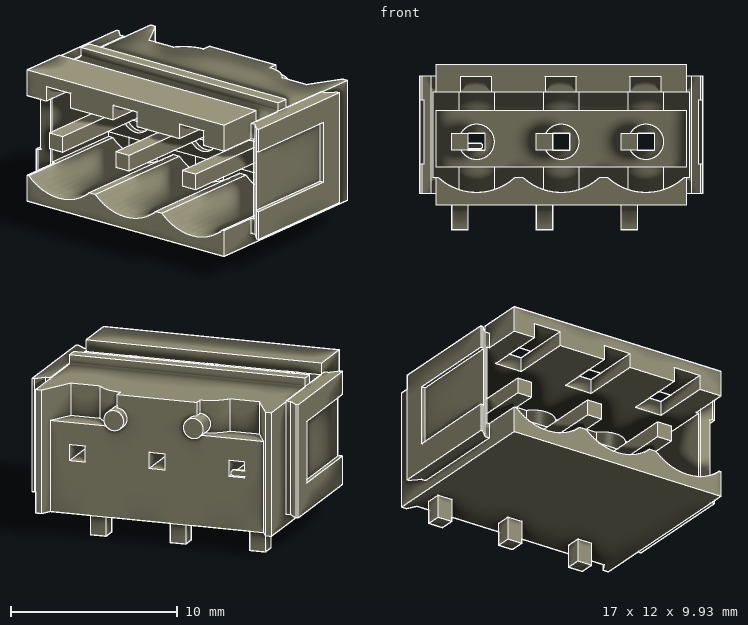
import cadquery as cq
import math

WIDTH = 15.05
DEPTH = 12.0
ROOF_TOP = 7.72
POLES = 3
PITCH = 5.08
POLE_X = [(i - (POLES - 1) / 2) * PITCH for i in range(POLES)]

CAVITY_WIDTH = 15.4
CAVITY_BOTTOM = 1.67
CAVITY_TOP = 6.78
CAVITY_DEPTH = 8.16
CHANNEL_BOTTOM = 0.76
CHANNEL_WIDTH = 4.6

LATCH_DEPTH = 3.13
LATCH_TOP = 8.45
NOTCH_WIDTH = 1.85
NOTCH_DEPTH = 4.13
NOTCH_SHIFT = -0.03

RIB_FRONT = 5.27
RIB_BACK = 6.04
RIB_TOP = 8.3
RIB_FRONT_ROOT = 0.2
RIB_BACK_ROOT = 0.17

OVERALL_WIDTH = 17
FLANGE_BOTTOM = 0.7
FLANGE_TOP = 7.77
FLANGE_FRONT = 2.12
FLANGE_BACK = 9.96
FLANGE_LIP = 0.15
FLANGE_SLOPE = 0.53
RECESS_DEPTH = 0.25
RECESS_BACK = 8.42
RECESS_BOTTOM = 2.48
RECESS_TOP = 6.32

EAR_TIP = 0.37
EAR_ROOT = 1.51
GAP_FLOOR = 9.95
LEDGE_BACK = 11.39
LEDGE_TOP = 5.7
LOBE_WIDTH = 8.3
LOBE_SHOULDER = 10.81
LOBE_RADIUS = 1.94
PEG_RADIUS = 0.63
PEG_HEIGHT = 6.25

COLUMN_WIDTH = 2.12
COLUMN_PROJECTION = 0.51
SEAT_PLATE_THICKNESS = 0.68
SEAT_PLATE_BOTTOM = 2.3
SEAT_PLATE_TOP = 5.68
COUNTERBORE_RADIUS = COLUMN_WIDTH / 2
COUNTERBORE_DEPTH = 0.34

PIN_SIZE = 1.0
PIN_OFFSET = PIN_SIZE
PIN_AXIS_HEIGHT = 3.8
PIN_TIP = 0.99
PIN_TAIL_BACK = 10.47
PIN_TAIL_BOTTOM = -1.48

TONGUE_WIDTH = 0.35
TONGUE_HEIGHT = 3.55
TONGUE_REACH = 0.87
TONGUE_THICKNESS = 0.17


def block(x_span, y_span, z_span):
    """Box between two limits along each axis."""
    (x0, x1), (y0, y1), (z0, z1) = x_span, y_span, z_span
    return cq.Workplane("XY").box(x1 - x0, y1 - y0, z1 - z0, centered=False).translate((x0, y0, z0))


def centred_block(width, y_span, z_span, x=0):
    return block((x - width / 2, x + width / 2), y_span, z_span)


def rod_along_y(radius, x, z, y_span):
    y0, y1 = y_span
    return cq.Workplane("XZ", origin=(x, y0, z)).circle(radius).extrude(y0 - y1)


def flange():
    """Right-hand dovetail flange with a shallow recess in its outer face."""
    outer = OVERALL_WIDTH / 2
    lip = outer - FLANGE_LIP
    root = lip - FLANGE_SLOPE
    root_front = FLANGE_FRONT + FLANGE_SLOPE
    root_back = FLANGE_BACK - FLANGE_SLOPE
    outline = [
        (WIDTH / 2, root_front),
        (root, root_front),
        (lip, FLANGE_FRONT),
        (outer, FLANGE_FRONT),
        (outer, FLANGE_BACK),
        (lip, FLANGE_BACK),
        (root, root_back),
        (WIDTH / 2, root_back),
    ]
    plate = (
        cq.Workplane("XY", origin=(0, 0, FLANGE_BOTTOM))
        .polyline(outline)
        .close()
        .extrude(FLANGE_TOP - FLANGE_BOTTOM)
    )
    recess = block((outer - RECESS_DEPTH, outer), (0, RECESS_BACK), (RECESS_BOTTOM, RECESS_TOP))
    return plate.cut(recess)


def cavity():
    """Mating cavity with one round-bottomed channel per pole."""
    space = centred_block(CAVITY_WIDTH, (0, CAVITY_DEPTH), (CAVITY_BOTTOM, CAVITY_TOP))
    for x in POLE_X:
        channel = (
            cq.Workplane("XZ", origin=(x, 0, 0))
            .moveTo(-CHANNEL_WIDTH / 2, CAVITY_BOTTOM)
            .threePointArc((0, CHANNEL_BOTTOM), (CHANNEL_WIDTH / 2, CAVITY_BOTTOM))
            .close()
            .extrude(-CAVITY_DEPTH)
        )
        space = space.union(channel)
    return space


def latch_notch(x):
    """Slot up through the latch bar and the front of the roof."""
    return centred_block(NOTCH_WIDTH, (0, NOTCH_DEPTH), (CAVITY_TOP, ROOF_TOP), x + NOTCH_SHIFT)


def root_fillet(face_y, reach):
    """Concave fillet from a rib face down to the roof; the sign of reach is its direction along Y."""
    radius = abs(reach)
    inset = 1 - math.sqrt(0.5)
    return (
        cq.Workplane("YZ", origin=(-WIDTH / 2, 0, 0))
        .moveTo(face_y, ROOF_TOP + radius)
        .threePointArc((face_y + inset * reach, ROOF_TOP + inset * radius), (face_y + reach, ROOF_TOP))
        .lineTo(face_y, ROOF_TOP)
        .close()
        .extrude(WIDTH)
    )


def rib():
    bar = centred_block(WIDTH, (RIB_FRONT, RIB_BACK), (ROOF_TOP, RIB_TOP))
    front_root = root_fillet(RIB_FRONT, -RIB_FRONT_ROOT)
    back_root = root_fillet(RIB_BACK, RIB_BACK_ROOT)
    return bar.union(front_root).union(back_root)


def ear_gap(floor, bottom):
    """Tapered space between the ears, from a floor out to the rear face."""
    tip = WIDTH / 2 - EAR_TIP
    root = WIDTH / 2 - EAR_ROOT
    floor_half = root + (tip - root) * (floor - GAP_FLOOR) / (DEPTH - GAP_FLOOR)
    return (
        cq.Workplane("XY", origin=(0, 0, bottom))
        .polyline([(-floor_half, floor), (floor_half, floor), (tip, DEPTH), (-tip, DEPTH)])
        .close()
        .extrude(ROOF_TOP - bottom)
    )


def roof_lobe():
    """Rear projection of the roof, with rounded shoulders either side of its square end."""
    half = LOBE_WIDTH / 2
    neck = PITCH / 2
    return (
        cq.Workplane("XY", origin=(0, 0, LEDGE_TOP))
        .moveTo(-half, GAP_FLOOR)
        .radiusArc((-neck, LOBE_SHOULDER), LOBE_RADIUS)
        .lineTo(-neck, LEDGE_BACK)
        .lineTo(neck, LEDGE_BACK)
        .lineTo(neck, LOBE_SHOULDER)
        .radiusArc((half, GAP_FLOOR), LOBE_RADIUS)
        .close()
        .extrude(ROOF_TOP - LEDGE_TOP)
    )


def column(x):
    """Upright column with a shallow round front, standing on the cavity's rear wall."""
    half = COLUMN_WIDTH / 2
    return (
        cq.Workplane("XY", origin=(x, CAVITY_DEPTH, CHANNEL_BOTTOM))
        .moveTo(-half, 0)
        .threePointArc((0, -COLUMN_PROJECTION), (half, 0))
        .close()
        .extrude(CAVITY_TOP - CHANNEL_BOTTOM)
    )


def tongue():
    """Bar with a round right-hand end, across the rear of the first pole's square hole."""
    left = POLE_X[0] - PIN_SIZE / 2
    end_radius = TONGUE_WIDTH / 2
    arc_start = left + TONGUE_REACH - end_radius
    z_span = (TONGUE_HEIGHT - end_radius, TONGUE_HEIGHT + end_radius)
    y_span = (LEDGE_BACK - TONGUE_THICKNESS, LEDGE_BACK)
    bar = block((left, arc_start), y_span, z_span)
    return bar.union(rod_along_y(end_radius, arc_start, TONGUE_HEIGHT, y_span))


def make_pin(x):
    """Square L-shaped pin: a contact blade pointing forward and a solder tail pointing down."""
    left = x - PIN_OFFSET - PIN_SIZE / 2
    x_span = (left, left + PIN_SIZE)
    top = PIN_AXIS_HEIGHT + PIN_SIZE / 2
    blade = block(x_span, (PIN_TIP, PIN_TAIL_BACK), (top - PIN_SIZE, top))
    tail = block(x_span, (PIN_TAIL_BACK - PIN_SIZE, PIN_TAIL_BACK), (PIN_TAIL_BOTTOM, top))
    return blade.union(tail)


def add_rear_details(body):
    """Ears, ledge, roof lobe and two round pegs at the rear."""
    body = body.cut(ear_gap(LEDGE_BACK, 0))
    body = body.cut(ear_gap(GAP_FLOOR, LEDGE_TOP))
    body = body.union(roof_lobe())
    for x in (-PITCH / 2, PITCH / 2):
        body = body.union(rod_along_y(PEG_RADIUS, x, PEG_HEIGHT, (GAP_FLOOR, DEPTH)))
    return body


def add_contact_seats(body):
    """Columns, the plate across them, and a counterbored square hole at each pole."""
    plate_front = CAVITY_DEPTH - SEAT_PLATE_THICKNESS
    body = body.union(
        centred_block(WIDTH, (plate_front, CAVITY_DEPTH), (SEAT_PLATE_BOTTOM, SEAT_PLATE_TOP))
    )
    bore_span = (plate_front, plate_front + COUNTERBORE_DEPTH)
    hole_z = (PIN_AXIS_HEIGHT - PIN_SIZE / 2, PIN_AXIS_HEIGHT + PIN_SIZE / 2)
    for x in POLE_X:
        body = body.union(column(x))
        body = body.cut(rod_along_y(COUNTERBORE_RADIUS, x, PIN_AXIS_HEIGHT, bore_span))
        body = body.cut(centred_block(PIN_SIZE, (plate_front, DEPTH), hole_z, x))
    return body.union(tongue())


def make_housing():
    body = centred_block(WIDTH, (0, DEPTH), (0, ROOF_TOP))
    right_flange = flange()
    body = body.union(right_flange).union(right_flange.mirror("YZ"))
    body = body.union(centred_block(WIDTH, (0, LATCH_DEPTH), (CAVITY_TOP, LATCH_TOP)))
    body = body.union(rib()).cut(cavity())
    for x in POLE_X:
        body = body.cut(latch_notch(x))
    return add_contact_seats(add_rear_details(body))


pins = [make_pin(x) for x in POLE_X]
housing = make_housing()
for pin in pins:
    housing = housing.cut(pin)

result = cq.Compound.makeCompound([housing.val(), *[pin.val() for pin in pins]])